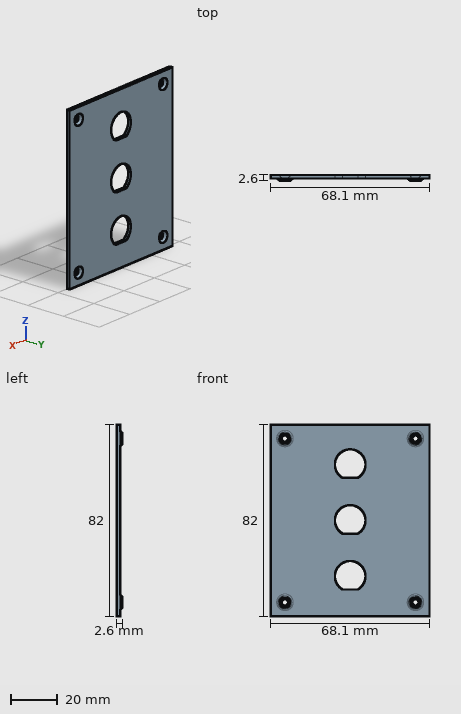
import cadquery as cq
import math

PLATE_WIDTH = 68.07
PLATE_HEIGHT = 82.04
TOTAL_DEPTH = 2.6
BOSS_HEIGHT = 1.03
PLATE_THICKNESS = TOTAL_DEPTH - BOSS_HEIGHT

CUTOUT_RADIUS = 6.5
CUTOUT_FLAT_DROP = 5.6
CUTOUT_PITCH = 23.9
CUTOUT_COUNT = 3

BOSS_SPACING_X = 55.88
BOSS_SPACING_Z = 70.1
BOSS_TOP_RADIUS = 2.15
BOSS_FILLET_RADIUS = 0.85
FLANK_ANGLE = math.radians(45)
SCREW_HOLE_RADIUS = 1.35
THROAT_LENGTH = 0.45


def make_plate():
    plate = cq.Workplane("XY").box(PLATE_WIDTH, PLATE_THICKNESS, PLATE_HEIGHT)
    return plate.translate((0, PLATE_THICKNESS / 2, 0))


def make_cutout(center_z):
    """D-shaped cutter through the plate."""
    half_flat = math.sqrt(CUTOUT_RADIUS**2 - CUTOUT_FLAT_DROP**2)
    cutter = (
        cq.Workplane("XZ")
        .moveTo(-half_flat, -CUTOUT_FLAT_DROP)
        .threePointArc((0, CUTOUT_RADIUS), (half_flat, -CUTOUT_FLAT_DROP))
        .close()
        .extrude(-PLATE_THICKNESS)
    )
    return cutter.translate((0, 0, center_z))


def make_boss():
    """Conical boss on the front face, blended into the plate by a concave fillet."""
    foot_radius = BOSS_TOP_RADIUS + BOSS_HEIGHT / math.tan(FLANK_ANGLE)
    base_radius = foot_radius + BOSS_FILLET_RADIUS * math.tan(FLANK_ANGLE / 2)

    def fillet_point(angle):
        radius = base_radius - BOSS_FILLET_RADIUS * math.sin(angle)
        return (radius, -BOSS_FILLET_RADIUS * (1 - math.cos(angle)))

    return (
        cq.Workplane("XY")
        .moveTo(0, PLATE_THICKNESS)
        .lineTo(base_radius, PLATE_THICKNESS)
        .lineTo(base_radius, 0)
        .threePointArc(fillet_point(FLANK_ANGLE / 2), fillet_point(FLANK_ANGLE))
        .lineTo(BOSS_TOP_RADIUS, -BOSS_HEIGHT)
        .lineTo(0, -BOSS_HEIGHT)
        .close()
        .revolve(360, (0, 0), (0, 1))
    )


def make_screw_hole():
    """Dimple hole: the boss rim slopes square to the flank down to a short cylindrical
    throat, then a cone parallel to the flank widens out to the back face."""
    rim_depth = (BOSS_TOP_RADIUS - SCREW_HOLE_RADIUS) * math.tan(math.pi / 2 - FLANK_ANGLE)
    throat_front = rim_depth - BOSS_HEIGHT
    throat_back = throat_front + THROAT_LENGTH
    back_radius = SCREW_HOLE_RADIUS + (PLATE_THICKNESS - throat_back) / math.tan(FLANK_ANGLE)
    return (
        cq.Workplane("XY")
        .moveTo(0, -BOSS_HEIGHT)
        .lineTo(BOSS_TOP_RADIUS, -BOSS_HEIGHT)
        .lineTo(SCREW_HOLE_RADIUS, throat_front)
        .lineTo(SCREW_HOLE_RADIUS, throat_back)
        .lineTo(back_radius, PLATE_THICKNESS)
        .lineTo(0, PLATE_THICKNESS)
        .close()
        .revolve(360, (0, 0), (0, 1))
    )


result = make_plate()

for index in range(CUTOUT_COUNT):
    cutout_z = (index - (CUTOUT_COUNT - 1) / 2) * CUTOUT_PITCH
    result = result.cut(make_cutout(cutout_z))

for side_x in (-1, 1):
    for side_z in (-1, 1):
        boss_place = (side_x * BOSS_SPACING_X / 2, 0, side_z * BOSS_SPACING_Z / 2)
        result = result.union(make_boss().translate(boss_place))
        result = result.cut(make_screw_hole().translate(boss_place))